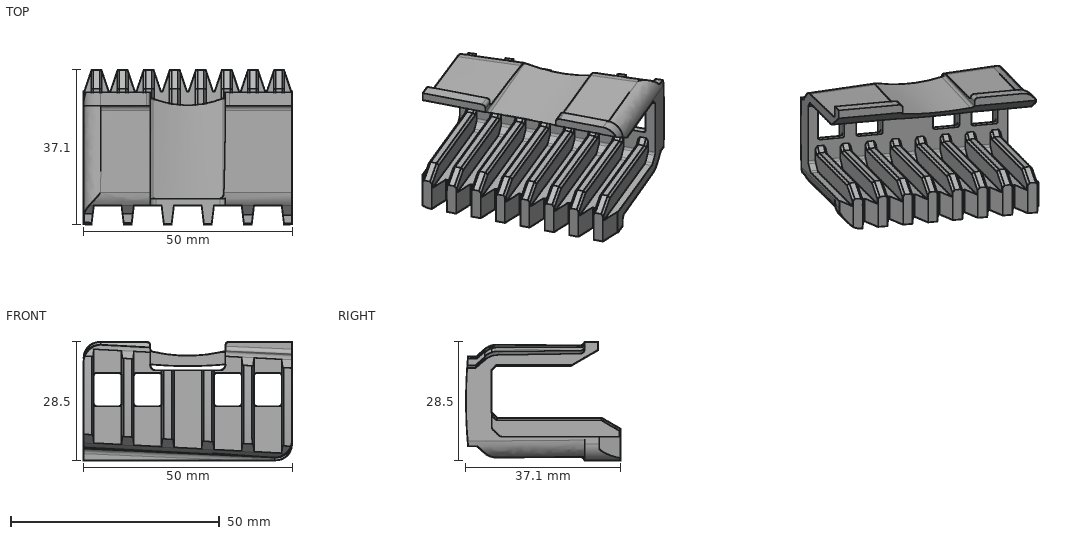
import cadquery as cq
import math

LENGTH = 50.0
DEPTH = 37.1
HEIGHT = 28.45
HALF = LENGTH / 2
MID_Z = HEIGHT / 2
MARGIN = 2.5

LIP_Y = 28.5
LIP_FILLET = 1.15
ARM_BACK_INSET = 1.75
ARM_BACK_LEAN = 1.1
BEND_Y = 7.75
ARM_FRONT_INSET = 1.8
ARM_FRONT_LEAN = 1.35
BEND_RUN = 3.1
BEND_DROP = 1.1
BEND_ANGLE = 45
RIB_END_Y = 2.45
RIB_END_Y_LEAN = 0.2
RIB_END_INSET = 4.85
RIB_END_LEAN = 1.45
RIB_BULGE = 0.5

CORNER_R = 4.0
ARM_CORNER_R = 4.1
ARM_CORNER_INSET = 0.6
ARM_CORNER_FALL = 0.25

WALL_BACK_Y = 6.2
FLOOR_Z = 5.75
FLOOR_CHAMFER = 1.95
FLOOR_SOFTENING_R = 1.0
CEILING_Z = 23.0
INNER_CHAMFER = 1.35
LIP_TIP_Y = 31.7
LIP_TIP_Z = 26.45
RAMP_SLOPE = math.tan(math.radians(30))

WALL_FRONT_Y = 4.55
RIB_COUNT = 6
RIB_PITCH = 9.6
RIB_ROOT_WIDTH = 3.0
RIB_TIP_WIDTH = 1.9
WINDOW_BOTTOM = 13.05
WINDOW_TOP = 20.95
WINDOW_R = 0.6

SADDLE_HALF = 9.0
SADDLE_EDGE_Z = 26.25
SADDLE_SAG = 1.1
SADDLE_FALL = 0.55
SADDLE_EDGE_R = 0.75
LIP_CORNER_R = 0.9
NOTCH_R = 1.35
BELLY_SAG = 0.4

TOOTH_COUNT = 8
TOOTH_PITCH = 6.25
TOOTH_TIP_WIDTH = 2.35
VALLEY_Y = 31.95
VALLEY_WIDTH = 0.4
RAIL_WIDTH = 2.6
RAIL_TOP_Z = 10.2
RAIL_TIP_Z = 7.6
RAIL_CHAMFER = 0.55


def side_prism(points, x_min, x_max):
    """Extrude a (Y, Z) polygon along X."""
    return cq.Workplane("YZ", origin=(x_min, 0, 0)).polyline(points).close().extrude(x_max - x_min)


def plan_prism(points):
    """Extrude an (X, Y) polygon through the whole height."""
    bottom = cq.Workplane("XY", origin=(0, 0, -MARGIN))
    return bottom.polyline(points).close().extrude(HEIGHT + 2 * MARGIN)


def centred(count, pitch):
    """Evenly spaced X positions about zero."""
    return [(i - (count - 1) / 2) * pitch for i in range(count)]


def skin_section(side):
    """Closed side outline of the skin at X = side * HALF."""

    def upper(inset, lean):
        return HEIGHT - inset - side * lean

    def lower(inset, lean):
        return inset - side * lean

    arc_part = LIP_FILLET * (1 - math.sqrt(0.5))
    arm_start_y = LIP_Y - LIP_FILLET
    bend_end_y = BEND_Y - BEND_RUN

    top_back = upper(ARM_BACK_INSET, ARM_BACK_LEAN)
    top_front = upper(ARM_FRONT_INSET, ARM_FRONT_LEAN)
    low_back = lower(ARM_BACK_INSET, ARM_BACK_LEAN)
    low_front = lower(ARM_FRONT_INSET, ARM_FRONT_LEAN)
    rib_top = upper(RIB_END_INSET, RIB_END_LEAN)
    rib_low = lower(RIB_END_INSET, RIB_END_LEAN)
    rib_top_y = RIB_END_Y - side * RIB_END_Y_LEAN
    rib_low_y = RIB_END_Y + side * RIB_END_Y_LEAN
    bend = math.radians(BEND_ANGLE)
    bend_mid_y = BEND_Y - BEND_RUN * math.sin(bend / 2) / math.sin(bend)
    bend_mid_drop = BEND_DROP * (1 - math.cos(bend / 2)) / (1 - math.cos(bend))

    outline = (
        cq.Workplane("YZ", origin=(side * HALF, 0, 0))
        .moveTo(DEPTH, HEIGHT + MARGIN)
        .lineTo(LIP_Y, HEIGHT + MARGIN)
        .lineTo(LIP_Y, top_back + LIP_FILLET)
        .threePointArc((LIP_Y - arc_part, top_back + arc_part), (arm_start_y, top_back))
        .lineTo(BEND_Y, top_front)
        .threePointArc((bend_mid_y, top_front - bend_mid_drop), (bend_end_y, top_front - BEND_DROP))
        .lineTo(rib_top_y, rib_top)
        .lineTo(0, rib_top)
        .lineTo(0, rib_low)
        .lineTo(rib_low_y, rib_low)
        .lineTo(bend_end_y, low_front + BEND_DROP)
        .threePointArc((bend_mid_y, low_front + bend_mid_drop), (BEND_Y, low_front))
        .lineTo(arm_start_y, low_back)
        .threePointArc((LIP_Y - arc_part, low_back - arc_part), (LIP_Y, low_back - LIP_FILLET))
        .lineTo(LIP_Y, -MARGIN)
        .lineTo(DEPTH, -MARGIN)
        .close()
    )
    return outline.val()


def half_turn(tool):
    """Copy rotated half a turn about the Y axis through the middle of the part."""
    return tool.rotate((0, 0, MID_Z), (0, 1, MID_Z), 180)


def corner_cutter(radius, inset, fall, depth):
    """Tool that rounds the upper left corner; its inset grows by fall along the depth."""
    top = HEIGHT - inset
    arc_part = radius * (1 - math.sqrt(0.5))
    outline = (
        cq.Workplane("XZ")
        .moveTo(-HALF, top - radius)
        .threePointArc((-HALF + arc_part, top - arc_part), (-HALF + radius, top))
        .lineTo(-HALF + radius, HEIGHT + MARGIN)
        .lineTo(-HALF - MARGIN, HEIGHT + MARGIN)
        .lineTo(-HALF - MARGIN, top - radius)
        .close()
    )
    run = cq.Vector(0, depth, -fall)
    return cq.Workplane(cq.Solid.extrudeLinear(cq.Face.makeFromWires(outline.val()), run))


def make_bowed_front():
    """Block over the whole part whose front face bows outwards between the rib ends."""
    end_inset = RIB_END_INSET - RIB_END_LEAN
    return (
        cq.Workplane("YZ", origin=(-HALF, 0, 0))
        .moveTo(DEPTH, 0)
        .lineTo(RIB_BULGE, 0)
        .lineTo(RIB_BULGE, end_inset)
        .threePointArc((0, MID_Z), (RIB_BULGE, HEIGHT - end_inset))
        .lineTo(RIB_BULGE, HEIGHT)
        .lineTo(DEPTH, HEIGHT)
        .close()
        .extrude(LENGTH)
    )


def make_skin():
    loft = cq.Solid.makeLoft([skin_section(-1), skin_section(1)], True)
    skin = cq.Workplane(loft).intersect(make_bowed_front())
    outer_corner = corner_cutter(CORNER_R, 0, 0, DEPTH)
    arm_corner = corner_cutter(ARM_CORNER_R, ARM_CORNER_INSET, ARM_CORNER_FALL, LIP_Y)
    for cutter in (outer_corner, arm_corner):
        skin = skin.cut(cutter).cut(half_turn(cutter))
    return skin


def ramp_z(y):
    """Height of the sloping underside of the lip."""
    return LIP_TIP_Z - (LIP_TIP_Y - y) * RAMP_SLOPE


def cut_inside(body):
    far_y = DEPTH + MARGIN
    cavity = [
        (far_y, FLOOR_Z),
        (WALL_BACK_Y + FLOOR_CHAMFER, FLOOR_Z),
        (WALL_BACK_Y, FLOOR_Z + FLOOR_CHAMFER),
        (WALL_BACK_Y, CEILING_Z - INNER_CHAMFER),
        (WALL_BACK_Y + INNER_CHAMFER, CEILING_Z),
        (far_y, CEILING_Z),
    ]
    tool = side_prism(cavity, -HALF, HALF)
    floor_zone = cq.selectors.BoxSelector(
        (-HALF, WALL_BACK_Y - 0.5, FLOOR_Z - 0.5), (HALF, DEPTH, FLOOR_Z + FLOOR_CHAMFER + 0.5))
    return body.cut(tool.edges("|X").edges(floor_zone).fillet(FLOOR_SOFTENING_R))


def add_belly(body):
    """Shallow bulge under the saddle."""
    belly = (
        cq.Workplane("XZ", origin=(0, WALL_BACK_Y, 0))
        .moveTo(-SADDLE_HALF, CEILING_Z + BELLY_SAG)
        .lineTo(-SADDLE_HALF, CEILING_Z)
        .threePointArc((0, CEILING_Z - BELLY_SAG), (SADDLE_HALF, CEILING_Z))
        .lineTo(SADDLE_HALF, CEILING_Z + BELLY_SAG)
        .close()
        .extrude(WALL_BACK_Y - LIP_Y)
    )
    return body.union(belly)


def cut_lip_ramp(body):
    far_y = DEPTH + MARGIN
    start_y = LIP_TIP_Y - (LIP_TIP_Z - CEILING_Z + 2 * BELLY_SAG) / RAMP_SLOPE
    ramp = [
        (start_y, ramp_z(start_y)),
        (LIP_TIP_Y, LIP_TIP_Z),
        (LIP_TIP_Y, HEIGHT + MARGIN),
        (far_y, HEIGHT + MARGIN),
        (far_y, ramp_z(start_y)),
    ]
    return body.cut(side_prism(ramp, -HALF, HALF))


def cut_rib_gaps(body):
    for x in centred(RIB_COUNT - 1, RIB_PITCH):
        root = (RIB_PITCH - RIB_ROOT_WIDTH) / 2
        tip = (RIB_PITCH - RIB_TIP_WIDTH) / 2
        gap = [(x - tip, 0), (x - root, WALL_FRONT_Y), (x + root, WALL_FRONT_Y), (x + tip, 0)]
        body = body.cut(plan_prism(gap))
    return body


def cut_windows(body):
    width = RIB_PITCH - RIB_ROOT_WIDTH
    height = WINDOW_TOP - WINDOW_BOTTOM
    for x in centred(RIB_COUNT - 1, RIB_PITCH):
        if x != 0:
            window = cq.Workplane("XY").box(width, WALL_BACK_Y + 0.5, height, centered=(True, False, False))
            window = window.edges("|Y").fillet(WINDOW_R)
            body = body.cut(window.translate((x, 0, WINDOW_BOTTOM)))
    return body


def cut_saddle(body):
    outline = (
        cq.Workplane("XZ", origin=(0, WALL_BACK_Y, 0))
        .moveTo(-SADDLE_HALF, SADDLE_EDGE_Z)
        .threePointArc((0, SADDLE_EDGE_Z - SADDLE_SAG), (SADDLE_HALF, SADDLE_EDGE_Z))
        .lineTo(SADDLE_HALF, HEIGHT + MARGIN)
        .lineTo(-SADDLE_HALF, HEIGHT + MARGIN)
        .close()
    )
    run = cq.Vector(0, LIP_TIP_Y - WALL_BACK_Y, -SADDLE_FALL)
    groove = cq.Workplane(cq.Solid.extrudeLinear(cq.Face.makeFromWires(outline.val()), run))
    lower_edges = cq.selectors.BoxSelector(
        (-HALF, WALL_BACK_Y + 0.5, 0), (HALF, LIP_TIP_Y - 0.5, SADDLE_EDGE_Z + 0.5))
    return body.cut(groove.edges(lower_edges).fillet(SADDLE_EDGE_R))


def round_lip_corners(body):
    """Round the upper corners of the lip where the saddle interrupts it."""
    outer = SADDLE_HALF + LIP_CORNER_R
    low = HEIGHT - LIP_CORNER_R
    arc_x = outer - LIP_CORNER_R * math.sqrt(0.5)
    arc_z = low + LIP_CORNER_R * math.sqrt(0.5)
    flare = (
        cq.Workplane("XZ", origin=(0, LIP_Y - LIP_FILLET, 0))
        .moveTo(-SADDLE_HALF, low)
        .threePointArc((-arc_x, arc_z), (-outer, HEIGHT))
        .lineTo(-outer, HEIGHT + MARGIN)
        .lineTo(outer, HEIGHT + MARGIN)
        .lineTo(outer, HEIGHT)
        .threePointArc((arc_x, arc_z), (SADDLE_HALF, low))
        .close()
        .extrude(LIP_Y - LIP_FILLET - DEPTH)
    )
    return body.cut(flare)


def cut_notch(body):
    """Opening through the top of the front wall, ahead of and below the saddle."""
    floor = CEILING_Z - INNER_CHAMFER
    for depth, height in ((WALL_BACK_Y, HEIGHT), (WALL_BACK_Y + INNER_CHAMFER, INNER_CHAMFER)):
        slot = cq.Workplane("XY").box(2 * SADDLE_HALF, depth, HEIGHT, centered=(True, False, False))
        slot = slot.edges("|Y and <Z").fillet(NOTCH_R)
        below = cq.Workplane("XY").box(LENGTH, depth, height, centered=(True, False, False))
        body = body.cut(slot.intersect(below).translate((0, 0, floor)))
    return body


def make_rail(x):
    """Ridge along a tooth, with a gusset at the wall and a sloping tip."""
    rise = RAIL_TOP_Z - RAIL_TIP_Z
    root_z = FLOOR_Z - 0.5
    side = [
        (WALL_BACK_Y, root_z),
        (WALL_BACK_Y, RAIL_TOP_Z + INNER_CHAMFER),
        (WALL_BACK_Y + INNER_CHAMFER, RAIL_TOP_Z),
        (DEPTH - rise / RAMP_SLOPE, RAIL_TOP_Z),
        (DEPTH, RAIL_TIP_Z),
        (DEPTH, root_z),
    ]
    rail = side_prism(side, x - RAIL_WIDTH / 2, x + RAIL_WIDTH / 2)
    upper_zone = cq.selectors.BoxSelector(
        (x - RAIL_WIDTH, WALL_BACK_Y + 0.05, RAIL_TIP_Z), (x + RAIL_WIDTH, DEPTH - 0.05, HEIGHT))
    return rail.edges("#X").edges(upper_zone).chamfer(RAIL_CHAMFER)


def add_rails(body):
    for x in centred(TOOTH_COUNT, TOOTH_PITCH):
        body = body.union(make_rail(x))
    return body


def cut_tooth_valleys(body):
    bottom = VALLEY_WIDTH / 2
    mouth = (TOOTH_PITCH - TOOTH_TIP_WIDTH) / 2
    for x in centred(TOOTH_COUNT + 1, TOOTH_PITCH):
        valley = [(x - mouth, DEPTH), (x - bottom, VALLEY_Y), (x + bottom, VALLEY_Y), (x + mouth, DEPTH)]
        body = body.cut(plan_prism(valley))
    return body


body = make_skin()
body = cut_inside(body)
body = cut_notch(body)
body = add_belly(body)
body = cut_lip_ramp(body)
body = cut_saddle(body)
body = round_lip_corners(body)
body = cut_rib_gaps(body)
body = cut_windows(body)
body = add_rails(body)
body = cut_tooth_valleys(body)
result = body